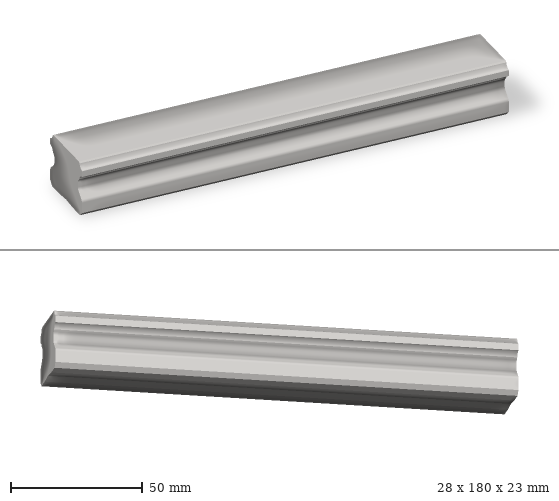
import cadquery as cq


LENGTH = 180.0
WIDTH = 28.0
HEIGHT = 23.0

FOOT_CHAMFER = 1.8
RELIEF_HALF_WIDTH = 6.1
RELIEF_DEPTH = 0.5

WAIST_HALF_WIDTH = 10.5
WAIST_BOTTOM = 10.6
WAIST_TOP = 14.2
WAIST_FILLET = 1.6

LIP_BOTTOM = 17.6
LIP_TOP = 20.2
LIP_CHAMFER = 0.2
GROOVE_RADIUS = 2.9
LOWER_GROOVE_START = 15.5

HEAD_HALF_WIDTH = 11.3
HEAD_CHAMFER = 0.5

PLUG_COUNT = 3
PLUG_DIAMETER = 11.0
PLUG_DEPTH = 3.6
PLUG_PITCH = 80.0

half_width = WIDTH / 2
shoulder_height = WAIST_BOTTOM - (half_width - WAIST_HALF_WIDTH)
lower_groove_start_x = WAIST_HALF_WIDTH + (LOWER_GROOVE_START - WAIST_TOP)


def half_profile():
    """Right half of the cross-section in XZ, counterclockwise from the underside."""
    return (
        cq.Workplane("XZ")
        .moveTo(0, RELIEF_DEPTH)
        .lineTo(RELIEF_HALF_WIDTH, 0)
        .lineTo(half_width - FOOT_CHAMFER, 0)
        .lineTo(half_width, FOOT_CHAMFER)
        .lineTo(half_width, shoulder_height)
        .lineTo(WAIST_HALF_WIDTH, WAIST_BOTTOM)
        .lineTo(WAIST_HALF_WIDTH, WAIST_TOP)
        .lineTo(lower_groove_start_x, LOWER_GROOVE_START)
        .radiusArc((half_width, LIP_BOTTOM), GROOVE_RADIUS)
        .lineTo(half_width, LIP_TOP)
        .lineTo(half_width - LIP_CHAMFER, LIP_TOP + LIP_CHAMFER)
        .radiusArc((HEAD_HALF_WIDTH + HEAD_CHAMFER, HEIGHT - HEAD_CHAMFER), GROOVE_RADIUS)
        .lineTo(HEAD_HALF_WIDTH, HEIGHT)
        .lineTo(0, HEIGHT)
        .close()
    )


def make_rail():
    """Full-length rail with the shoulder and waist corners rounded."""
    half = half_profile().extrude(LENGTH / 2, both=True)
    rounded_corners = [
        (half_width, shoulder_height),
        (WAIST_HALF_WIDTH, WAIST_BOTTOM),
        (WAIST_HALF_WIDTH, WAIST_TOP),
    ]
    for x, z in rounded_corners:
        corner = cq.selectors.NearestToPointSelector((x, 0, z))
        half = half.edges(corner).fillet(WAIST_FILLET)
    return half.union(half.mirror("YZ"))


def make_plugs():
    """Row of round plugs centred on the rail, level with the top face."""
    return (
        cq.Workplane("XY", origin=(0, 0, HEIGHT - PLUG_DEPTH))
        .rarray(1.8, PLUG_PITCH, 1, PLUG_COUNT)
        .circle(PLUG_DIAMETER / 2)
        .extrude(PLUG_DEPTH)
    )


rail = make_rail()
plugs = make_plugs()
result = rail.cut(plugs).union(plugs, clean=False)